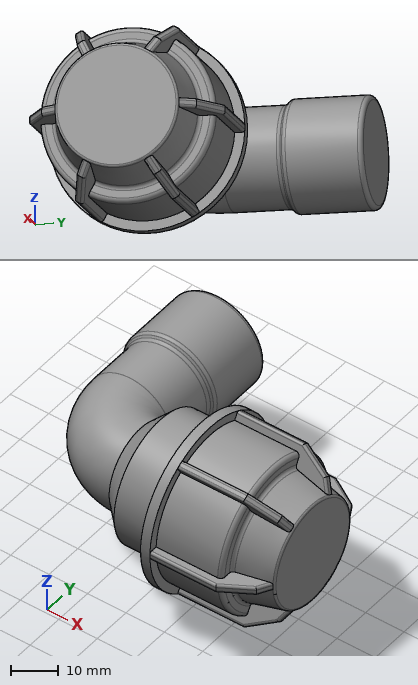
import cadquery as cq

pipe_radius = 10.95
bend_radius = 11.2

overall_length = 68.1
overall_width = 63.0
flange_diameter = 42.0
flange_radius = flange_diameter / 2

spigot_end = overall_width - flange_radius
spigot_radius = 12.1
spigot_shoulder = 24.9
shoulder_rounding = 1.2
rim_rounding = 1.0

body_radius = 16.0
body_cone_end = bend_radius + body_radius - pipe_radius
collar_start = 25.55

flange_start = 26.85
flange_end = 29.3
collar_radius = body_radius + flange_start - collar_start
barrel_radius = 18.9
barrel_end = 46.4
barrel_rounding = 1.1
nut_end = overall_length - spigot_radius
nose_root_radius = 15.45
nose_end_radius = 13.2
nose_root_rounding = 0.95
nose_end_rounding = 0.55

rib_count = 6
rib_width = 2.05
rib_rounding = 0.58
rib_slope_start = 46.45
rib_knee = 53.75
rib_knee_radius = 16.6
rib_tip = 55.85
rib_tip_radius = 12.9
rib_inner_radius = 10.2

selection_margin = 0.1


def spigot():
    """Straight pipe along +Y that widens through a 45 degree shoulder to the spigot end."""
    neck_end = spigot_shoulder - (spigot_radius - pipe_radius)
    solid = (
        cq.Workplane("XY")
        .moveTo(0, bend_radius)
        .lineTo(pipe_radius, bend_radius)
        .lineTo(pipe_radius, neck_end)
        .lineTo(spigot_radius, spigot_shoulder)
        .lineTo(spigot_radius, spigot_end)
        .lineTo(0, spigot_end)
        .close()
        .revolve(360, (0, 0, 0), (0, 1, 0))
    )
    shoulder = cq.selectors.BoxSelector(
        (-flange_radius, neck_end - selection_margin, -flange_radius),
        (flange_radius, spigot_shoulder + selection_margin, flange_radius),
        boundingbox=True,
    )
    solid = solid.edges(shoulder).fillet(shoulder_rounding)
    return solid.faces(">Y").edges().fillet(rim_rounding)


def bend():
    """Quarter-turn elbow joining the spigot pipe to the fitting body."""
    return (
        cq.Workplane("XZ", origin=(0, bend_radius, 0))
        .circle(pipe_radius)
        .revolve(90, (bend_radius, 0, 0), (bend_radius, 1, 0))
    )


def body():
    """Conical and cylindrical body, with the small collar cone in front of the nut."""
    return (
        cq.Workplane("XY")
        .moveTo(bend_radius, 0)
        .lineTo(bend_radius, pipe_radius)
        .lineTo(body_cone_end, body_radius)
        .lineTo(collar_start, body_radius)
        .lineTo(flange_start, collar_radius)
        .lineTo(flange_start, 0)
        .close()
        .revolve(360, (0, 0, 0), (1, 0, 0))
    )


def turned(start, end, start_radius, end_radius):
    """Cylinder or cone around the X axis."""
    return (
        cq.Workplane("XY")
        .moveTo(start, 0)
        .lineTo(start, start_radius)
        .lineTo(end, end_radius)
        .lineTo(end, 0)
        .close()
        .revolve(360, (0, 0, 0), (1, 0, 0))
    )


def nut():
    """Flange, barrel and tapered nose of the nut."""
    flange = turned(flange_start, flange_end, flange_radius, flange_radius)
    barrel = turned(flange_end, barrel_end, barrel_radius, barrel_radius)
    barrel = barrel.faces(">X").edges().fillet(barrel_rounding)
    nose = turned(barrel_end, nut_end, nose_root_radius, nose_end_radius)
    nose = nose.faces(">X").edges().fillet(nose_end_rounding)
    barrel_and_nose = barrel.union(nose)
    nose_reach = nose_root_radius + selection_margin
    root_edge = cq.selectors.BoxSelector(
        (barrel_end - selection_margin, -nose_reach, -nose_reach),
        (barrel_end + selection_margin, nose_reach, nose_reach),
        boundingbox=True,
    )
    return flange.union(barrel_and_nose.edges(root_edge).fillet(nose_root_rounding))


def rib():
    """One rib on the +Y side of the nut, rounded along its outer edges."""
    blade = (
        cq.Workplane("XY", origin=(0, 0, -rib_width / 2))
        .moveTo(flange_end, rib_inner_radius)
        .lineTo(flange_end, flange_radius)
        .lineTo(rib_slope_start, flange_radius)
        .lineTo(rib_knee, rib_knee_radius)
        .lineTo(rib_tip, rib_tip_radius)
        .lineTo(rib_tip, rib_inner_radius)
        .close()
        .extrude(rib_width)
    )
    outer_edges = cq.selectors.BoxSelector(
        (flange_end + selection_margin, rib_tip_radius, -rib_width),
        (rib_tip, flange_radius + selection_margin, rib_width),
    )
    return blade.edges("#Z").edges(outer_edges).fillet(rib_rounding)


result = spigot().union(bend()).union(body()).union(nut())
single_rib = rib()
for index in range(rib_count):
    result = result.union(single_rib.rotate((0, 0, 0), (1, 0, 0), index * 360 / rib_count))